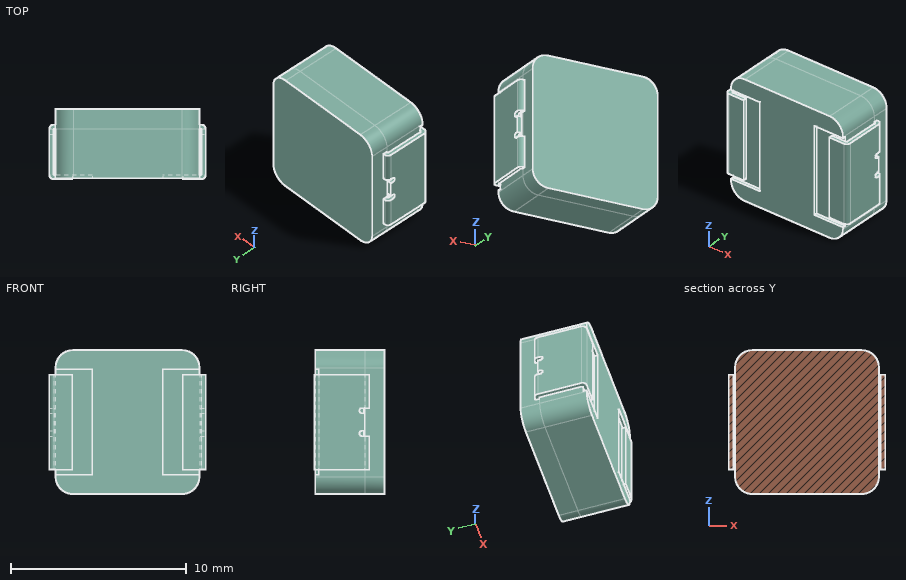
import cadquery as cq

body_size = 8.2
corner_radius = 1.0
overall_width = 8.905
overall_thickness = 4.0
standoff = 0.05
cover_thickness = 1.14

recess_inner_x = 2.0
recess_height = 6.0
recess_depth = 0.2

strip_thickness = standoff + recess_depth
inner_bend_radius = 0.05
outer_bend_radius = strip_thickness
terminal_height = 5.4
foot_length = 1.32
flange_embed = 0.5

flange_gap = 1.6
slot_width = 0.3
slot_depth = 0.3

half_body = body_size / 2
half_width = overall_width / 2
seam_y = overall_thickness - cover_thickness
flange_rear_y = seam_y + strip_thickness


def block(x_range, y_range, height):
    """Box between two X and two Y limits, centred on Z = 0."""
    length = x_range[1] - x_range[0]
    depth = y_range[1] - y_range[0]
    corner = (x_range[0], y_range[0], -height / 2)
    return cq.Workplane("XY").box(length, depth, height, centered=False).translate(corner)


def body_slab(front_y, rear_y):
    """Slab of the rounded body outline."""
    return block((-half_body, half_body), (front_y, rear_y), body_size).edges("|Y").fillet(corner_radius)


def make_base():
    """Front part of the body with a recess for each terminal foot."""
    base = body_slab(standoff, seam_y)
    recess_y = (standoff, standoff + recess_depth)
    left_recess = block((-half_body, -recess_inner_x), recess_y, recess_height)
    return base.cut(left_recess).cut(left_recess.mirror("YZ"))


def make_left_terminal():
    """C-shaped strip: foot at the front, side plate, split flange entering the body at the rear."""
    inner_face_x = -half_width + strip_thickness
    flange_end_x = -half_body + flange_embed
    foot_end_x = -half_width + foot_length

    outer = block((-half_width, foot_end_x), (0, flange_rear_y), terminal_height)
    outer = outer.edges("|Z and <X").fillet(outer_bend_radius)
    inner = block((inner_face_x, foot_end_x), (strip_thickness, seam_y), terminal_height)
    inner = inner.edges("|Z and <X").fillet(inner_bend_radius)
    beyond_flange = block((flange_end_x, foot_end_x), (strip_thickness, flange_rear_y), terminal_height)
    middle_gap = block((-half_width, foot_end_x), (seam_y, flange_rear_y), flange_gap)
    terminal = outer.cut(inner).cut(beyond_flange).cut(middle_gap)

    slot_radius = slot_width / 2
    slot_center_y = seam_y - slot_depth + slot_radius
    for side in (-1, 1):
        slot_z = side * (flange_gap - slot_width) / 2
        slot = block((-half_width, inner_face_x), (slot_center_y, seam_y), slot_width)
        slot = slot.translate((0, 0, slot_z))
        slot_end = (
            cq.Workplane("YZ", origin=(-half_width, 0, 0))
            .center(slot_center_y, slot_z)
            .circle(slot_radius)
            .extrude(strip_thickness)
        )
        terminal = terminal.cut(slot).cut(slot_end)
    return terminal


left_terminal = make_left_terminal()
cover = body_slab(seam_y, overall_thickness)
result = make_base().union(cover, clean=False)
for terminal in (left_terminal, left_terminal.mirror("YZ")):
    result = result.union(terminal, clean=False)